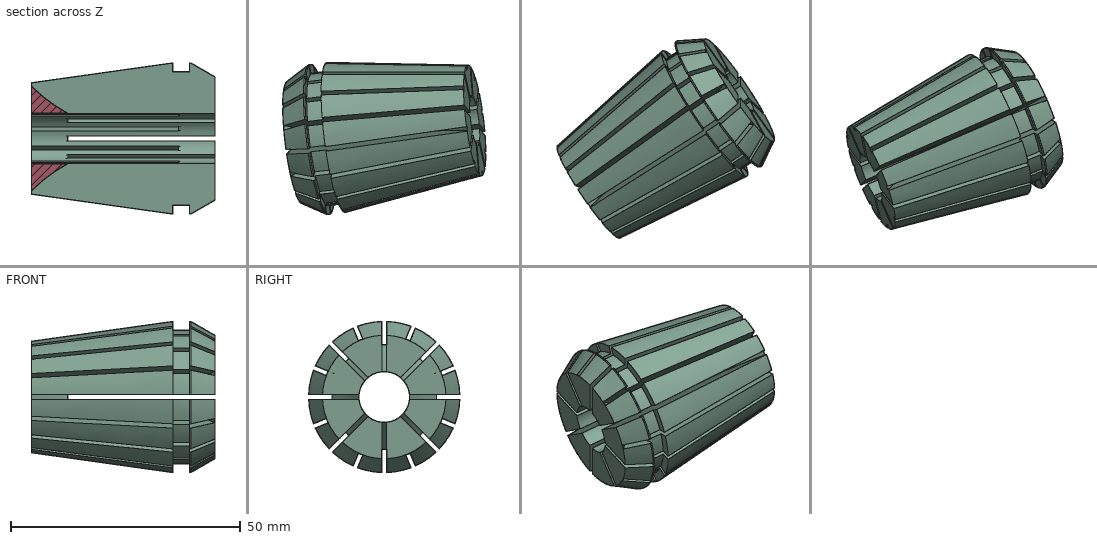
import cadquery as cq
import math

length = 40.0
max_radius = 33.0 / 2
bore_radius = 11.0 / 2

taper_length = 30.8
taper_angle = 8.0
groove_radius = 14.55
groove_end = 34.4
land_end = 34.7
front_angle = 30.0

slots_per_end = 8
slot_pitch = 360.0 / slots_per_end
slot_width = 1.0
saw_radius = 35.0
rear_floor_bore_x = 32.1
rear_floor_face_radius = 13.65
front_floor_bore_x = 7.9
front_floor_face_radius = 11.4

overcut = 0.4


def make_body():
    """Revolve the tapered, grooved and bored blank about the X axis."""
    narrow_radius = max_radius - taper_length * math.tan(math.radians(taper_angle))
    front_radius = max_radius - (length - land_end) * math.tan(math.radians(front_angle))
    return (
        cq.Workplane("XZ")
        .moveTo(0, bore_radius)
        .lineTo(0, narrow_radius)
        .lineTo(taper_length, max_radius)
        .lineTo(taper_length, groove_radius)
        .lineTo(groove_end, groove_radius)
        .lineTo(groove_end, max_radius)
        .lineTo(land_end, max_radius)
        .lineTo(length, front_radius)
        .lineTo(length, bore_radius)
        .close()
        .revolve(360, (0, 0, 0), (1, 0, 0))
    )


def make_slot(open_x, blind_x, bore_x, face_radius):
    """Slot along +Z, sawn from the open_x end; its floor rises from the bore to the blind_x end face."""
    run = bore_x - blind_x
    rise = face_radius - bore_radius
    chord = math.hypot(run, rise)
    sagitta = saw_radius - math.sqrt(saw_radius**2 - (chord / 2) ** 2)

    floor_middle = (
        (bore_x + blind_x) / 2 - math.copysign(sagitta * rise / chord, run),
        (bore_radius + face_radius) / 2 - sagitta * abs(run) / chord,
    )
    inner_radius = bore_radius - overcut
    outer_radius = max_radius + overcut
    return (
        cq.Workplane("XZ")
        .moveTo(open_x, inner_radius)
        .lineTo(bore_x, inner_radius)
        .lineTo(bore_x, bore_radius)
        .threePointArc(floor_middle, (blind_x, face_radius))
        .lineTo(blind_x, outer_radius)
        .lineTo(open_x, outer_radius)
        .close()
        .extrude(slot_width / 2, both=True)
    )


rear_slot = make_slot(0, length, rear_floor_bore_x, rear_floor_face_radius)
front_slot = make_slot(length, 0, front_floor_bore_x, front_floor_face_radius)

result = make_body()
for index in range(slots_per_end):
    angle = index * slot_pitch
    result = result.cut(front_slot.rotate((0, 0, 0), (1, 0, 0), angle))
    result = result.cut(rear_slot.rotate((0, 0, 0), (1, 0, 0), angle + slot_pitch / 2))